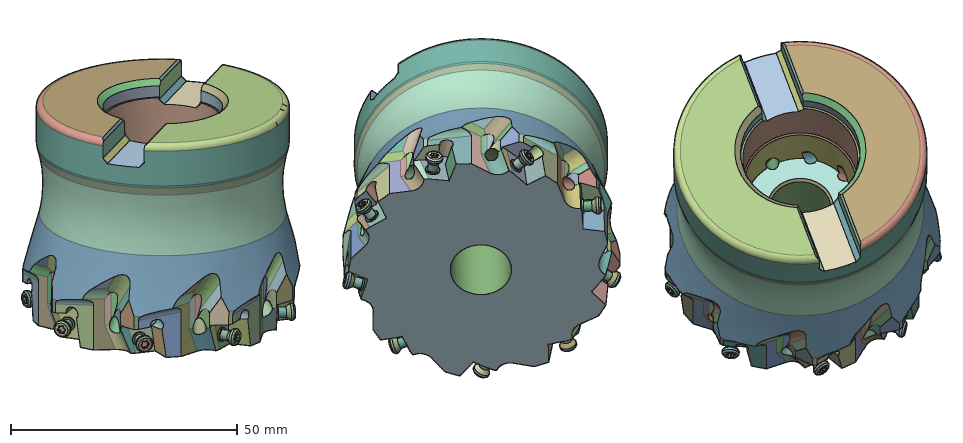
import cadquery as cq
import math

HEIGHT = 49.6
TEETH = 9
PITCH = 360 / TEETH
BODY_R = 30.95

HUB_R = 28.0
HUB_EDGE_R = 1.5
HUB_BOTTOM_Z = 39.95
HUB_CHAMFER_R = 27.9
HUB_CHAMFER_Z = 39.4
NECK_TOP_R = 27.4
NECK_TOP_Z = 37.6
NECK_R = 26.5
NECK_Z = 30.4
CONE_TOP_R = 27.3
CONE_TOP_Z = 23.25
CONE_BOTTOM_Z = 10.1

MOUTH_R = 14.5
LEAD_R = 13.2
LEAD_DEPTH = 3.9
BORE_R = 12.7
LOWER_BORE_R = 12.35
LOWER_BORE_Z = 34.1
FLOOR_Z = 23.3
THROUGH_R = 6.75
THROUGH_CHAMFER = 0.55

SLOT_W = 9.6
SLOT_DEPTH = 5.45
SLOT_CORNER = 1.1
SLOT_EDGE = 0.5

SEAT_ANGLE = 27.0
SEAT_TILT = 8.0
SEAT_X = 26.75
SEAT_Y = -1.35
SEAT_Z = 3.4
POCKET_LEFT = 4.9
POCKET_RIGHT = 3.2
POCKET_UP = 3.85
POCKET_DOWN = 7.35
WALL_LEAN = 12.0
LAND_OFFSET = 1.1
LAND_SHIFT = 1.15
LAND_W = 3.1
LAND_DROP = 0.5
FLANK_ANGLE = 19.5
FLANK_X = 27.7
FLANK_Y = 8.2
FLANK_TOP_Z = 12.3
FLANK_LENGTH = 13.5
FLANK_OVERRUN = 4.9
FLANK_FILLET = 1.7
RELIEF_R = 1.5
OUTSIDE = 12.3

FLOOR_X = 26.45
FLOOR_Y = -11.5
FLOOR_ANGLE = 12.0
FLOOR_LENGTH = 4.7
GULLET_R = 3.3
GULLET_TURN = 90.0
RUNOUT_TURN = 25.0
LEAN_Z = 5.9
LEAN = 0.4
RUNOUT_Z = 13.4
RUNOUT_BOTTOM_Z = 6.15
RUNOUT_TOP_Z = 23.3
RUNOUT_RADIAL = 0.42
RUNOUT_SIDE = 0.54
RUNOUT_R = 4.3
BEND_R = 5.4
RUNOUT_WALL_ANGLE = 35.0
FACET_X = 29.85
FACET_Y = -3.25
FACET_ANGLE = 52.0

COOLANT_R = 1.5
COOLANT_IN = (13.0, 0.0, FLOOR_Z)
COOLANT_OUT = (26.4, -6.75, 5.85)

THREAD_R = 1.6
THREAD_SINK = 2.45
THREAD_OUT = 0.35
SCREW_NECK_R = 1.15
SCREW_OUT = 4.2
HEAD_R = 1.9
HEAD_EDGE_R = 1.55
HEAD_RIM = 0.55
HEAD_CROWN = 0.4
HEAD_CONE = 1.0
SOCKET_R = 0.75
SOCKET_LOBE_R = 0.25
SOCKET_DEPTH = 0.75
LOBES = 6


def direction(angle):
    """Unit vector in the XY plane."""
    return cq.Vector(math.cos(math.radians(angle)), math.sin(math.radians(angle)), 0)


def about_axis(shape, tooth):
    return shape.rotate(cq.Vector(0, 0, 0), cq.Vector(0, 0, 1), tooth * PITCH)


def seat_plane():
    """Plane on the seat: origin on the screw axis, normal along the screw."""
    across = direction(SEAT_ANGLE + 90) * math.cos(math.radians(SEAT_TILT))
    across += cq.Vector(0, 0, math.sin(math.radians(SEAT_TILT)))
    return cq.Plane(origin=(SEAT_X, SEAT_Y, SEAT_Z), xDir=across, normal=direction(SEAT_ANGLE))


def prism(wire, path):
    return cq.Solid.extrudeLinear(wire, [], path)


def turned_body():
    return (
        cq.Workplane("XZ")
        .moveTo(0, 0)
        .lineTo(BODY_R, 0)
        .lineTo(BODY_R, CONE_BOTTOM_Z)
        .lineTo(CONE_TOP_R, CONE_TOP_Z)
        .threePointArc((NECK_R, NECK_Z), (NECK_TOP_R, NECK_TOP_Z))
        .lineTo(HUB_CHAMFER_R, HUB_CHAMFER_Z)
        .lineTo(HUB_R, HUB_BOTTOM_Z)
        .lineTo(HUB_R, HEIGHT)
        .lineTo(0, HEIGHT)
        .close()
        .revolve(360, (0, 0), (0, 1))
        .faces(">Z").edges().fillet(HUB_EDGE_R)
    )


def bore():
    chamfer = MOUTH_R - LEAD_R
    return (
        cq.Workplane("XZ")
        .moveTo(0, 0)
        .lineTo(THROUGH_R, 0)
        .lineTo(THROUGH_R, FLOOR_Z - THROUGH_CHAMFER)
        .lineTo(THROUGH_R + THROUGH_CHAMFER, FLOOR_Z)
        .lineTo(LOWER_BORE_R, FLOOR_Z)
        .lineTo(LOWER_BORE_R, LOWER_BORE_Z)
        .lineTo(BORE_R, LOWER_BORE_Z + BORE_R - LOWER_BORE_R)
        .lineTo(BORE_R, HEIGHT - LEAD_DEPTH)
        .lineTo(LEAD_R, HEIGHT - LEAD_DEPTH)
        .lineTo(LEAD_R, HEIGHT - chamfer)
        .lineTo(MOUTH_R, HEIGHT)
        .lineTo(0, HEIGHT)
        .close()
        .revolve(360, (0, 0), (0, 1))
    )


def drive_slot():
    half = SLOT_W / 2
    floor = HEIGHT - SLOT_DEPTH
    return (
        cq.Workplane("XZ")
        .moveTo(-half + SLOT_CORNER, floor)
        .lineTo(half - SLOT_CORNER, floor)
        .lineTo(half, floor + SLOT_CORNER)
        .lineTo(half, HEIGHT - SLOT_EDGE)
        .lineTo(half + SLOT_EDGE, HEIGHT)
        .lineTo(-half - SLOT_EDGE, HEIGHT)
        .lineTo(-half, HEIGHT - SLOT_EDGE)
        .lineTo(-half, floor + SLOT_CORNER)
        .close()
        .extrude(BODY_R, both=True)
    )


def pocket_cut():
    """Insert pocket: seat, ceiling and leaning backing wall."""
    top = cq.Plane(seat_plane().toWorldCoords((0, POCKET_UP, 0)), seat_plane().xDir, seat_plane().yDir * -1)
    spread = OUTSIDE * math.tan(math.radians(WALL_LEAN))
    box = (
        cq.Workplane(top)
        .moveTo(-POCKET_LEFT, 0)
        .lineTo(POCKET_RIGHT, 0)
        .lineTo(POCKET_RIGHT + spread, OUTSIDE)
        .lineTo(-POCKET_LEFT, OUTSIDE)
        .close()
        .extrude(POCKET_UP + POCKET_DOWN)
    )
    relief = (
        cq.Workplane(seat_plane())
        .center(POCKET_RIGHT, POCKET_UP)
        .circle(RELIEF_R)
        .extrude(OUTSIDE)
    )
    return box.union(relief).val()


def edge_land_cut():
    """Narrow land falling away from the seat towards the gullet."""
    plane = seat_plane()
    bottom = -SEAT_Z - 0.6
    outline = [
        plane.toWorldCoords(p) for p in (
            (-LAND_OFFSET, bottom, 0),
            (-LAND_OFFSET - LAND_W, bottom, 0),
            (-LAND_OFFSET - LAND_W, bottom, -LAND_DROP),
        )
    ]
    run = plane.xDir * -LAND_SHIFT + plane.yDir * (POCKET_UP - bottom)
    return prism(cq.Wire.makePolygon(outline, close=True), run)


def flank_cut():
    """Flat clearance behind the insert, with a sloping, rounded upper edge."""
    out = direction(FLANK_ANGLE)
    plane = cq.Plane(origin=(FLANK_X, FLANK_Y, 0), xDir=direction(FLANK_ANGLE + 90), normal=out)
    slope = math.tan(math.radians(SEAT_TILT))
    return (
        cq.Workplane(plane)
        .moveTo(-FLANK_LENGTH, 0)
        .lineTo(FLANK_OVERRUN, 0)
        .lineTo(FLANK_OVERRUN, FLANK_TOP_Z + FLANK_OVERRUN * slope)
        .lineTo(-FLANK_LENGTH, FLANK_TOP_Z - FLANK_LENGTH * slope)
        .close()
        .extrude(OUTSIDE)
        .edges(cq.selectors.NearestToPointSelector((FLANK_X, FLANK_Y, FLANK_TOP_Z)))
        .fillet(FLANK_FILLET)
        .val()
    )


def gullet_profile(shift, z, behind, turn):
    """Floor, round root turning by an angle, and a straight side wall.

    The root is moved along the floor by shift; behind is the depth past the floor.
    """
    out = direction(FLOOR_ANGLE)
    along = direction(FLOOR_ANGLE + 90)
    edge = cq.Vector(FLOOR_X, FLOOR_Y, z)
    root = edge + along * (FLOOR_LENGTH + shift)
    centre = root + out * GULLET_R
    mid = centre + direction(FLOOR_ANGLE + 180 - turn / 2) * GULLET_R
    side = centre + direction(FLOOR_ANGLE + 180 - turn) * GULLET_R
    side_end = side + direction(FLOOR_ANGLE + 90 - turn) * 2 * OUTSIDE
    start = edge - along * OUTSIDE - out * behind
    far = start + out * 3 * OUTSIDE
    foot = root - out * behind
    lines = [(start, foot), (side, side_end), (side_end, far), (far, start)]
    if behind:
        lines.append((foot, root))
    edges = [cq.Edge.makeLine(*ends) for ends in lines]
    return cq.Wire.combine(edges + [cq.Edge.makeThreePointArc(root, mid, side)])[0]


def runout_cut():
    """Sloping run-out above the gullet, with the flat facet under the crown."""
    out = direction(FLOOR_ANGLE)
    along = direction(FLOOR_ANGLE + 90)
    facet = direction(FACET_ANGLE)
    edge = cq.Vector(FLOOR_X, FLOOR_Y, RUNOUT_Z)
    on_facet = cq.Vector(FACET_X, FACET_Y, RUNOUT_Z)
    wall = direction(RUNOUT_WALL_ANGLE)
    reach = (on_facet - edge).dot(out) / wall.dot(out)
    corner = on_facet - wall * reach
    section = (
        cq.Workplane("XY")
        .polyline([p.toTuple()[:2] for p in (
            edge - along * OUTSIDE,
            corner,
            on_facet,
            on_facet + facet * 2 * OUTSIDE,
            edge - along * OUTSIDE + out * 2 * OUTSIDE,
        )])
        .close()
        .extrude(0.6)
        .edges(cq.selectors.NearestToPointSelector((corner.x, corner.y, 0.3)))
        .fillet(RUNOUT_R)
        .faces("<Z")
        .wires()
        .val()
    )
    slope = cq.Vector(RUNOUT_RADIAL, RUNOUT_SIDE, 1)
    start = cq.Vector(0, 0, RUNOUT_Z) + slope * (RUNOUT_BOTTOM_Z - RUNOUT_Z)
    tool = prism(section.translate(start), slope * (RUNOUT_TOP_Z - RUNOUT_BOTTOM_Z))
    return tool


def in_front_of_floor():
    """Space in front of the upright floor and below its sloping run-out."""
    out = direction(FLOOR_ANGLE)
    along = direction(FLOOR_ANGLE + 90)
    slope = cq.Vector(RUNOUT_RADIAL, RUNOUT_SIDE, 0).dot(out)
    rise = 2 * OUTSIDE / slope
    section = cq.Plane(origin=(FLOOR_X, FLOOR_Y, 0), xDir=out, normal=along * -1)
    return (
        cq.Workplane(section)
        .moveTo(0, LEAN_Z)
        .lineTo(2 * OUTSIDE, LEAN_Z)
        .lineTo(2 * OUTSIDE, RUNOUT_Z + rise)
        .lineTo(0, RUNOUT_Z)
        .close()
        .extrude(3 * OUTSIDE, both=True)
        .edges(cq.selectors.NearestToPointSelector((FLOOR_X, FLOOR_Y, RUNOUT_Z)))
        .fillet(BEND_R)
        .val()
    )


def gullet_cut():
    """Leaning lower gullet, the upright part above it and the sloping run-out."""
    along = direction(FLOOR_ANGLE + 90)
    shift = -LEAN * LEAN_Z
    lower = prism(gullet_profile(0, 0, 0, GULLET_TURN), along * shift + cq.Vector(0, 0, LEAN_Z))
    rise = cq.Vector(0, 0, RUNOUT_TOP_Z - LEAN_Z)
    upper = prism(gullet_profile(shift, LEAN_Z, GULLET_R, GULLET_TURN), cq.Vector(0, 0, RUNOUT_Z - LEAN_Z))
    limit = prism(gullet_profile(shift, LEAN_Z, GULLET_R, RUNOUT_TURN), rise)
    space = in_front_of_floor()
    return [lower, upper.intersect(space), runout_cut().intersect(limit).intersect(space)]


def coolant_cut():
    start = cq.Vector(*COOLANT_IN)
    run = cq.Vector(*COOLANT_OUT) - start
    back = run.normalized() * COOLANT_R * 2
    return cq.Solid.makeCylinder(COOLANT_R, run.Length + 2 * back.Length, start - back, run)


def screw_hole():
    return cq.Workplane(seat_plane()).circle(THREAD_R).extrude(-THREAD_SINK).val()


def make_screw():
    rim_top = SCREW_OUT - HEAD_CROWN
    rim_bottom = rim_top - HEAD_RIM
    shank = (
        cq.Workplane("XZ")
        .moveTo(0, -THREAD_SINK)
        .lineTo(THREAD_R, -THREAD_SINK)
        .lineTo(THREAD_R, THREAD_OUT)
        .lineTo(SCREW_NECK_R, THREAD_OUT)
        .lineTo(SCREW_NECK_R, rim_bottom - HEAD_CONE)
        .lineTo(HEAD_R, rim_bottom)
        .lineTo(HEAD_R, rim_top)
        .lineTo(HEAD_EDGE_R, SCREW_OUT)
        .lineTo(0, SCREW_OUT)
        .close()
        .revolve(360, (0, 0), (0, 1))
    )
    face = cq.Workplane("XY").workplane(offset=SCREW_OUT)
    socket = face.circle(SOCKET_R).extrude(-SOCKET_DEPTH)
    socket = socket.union(face.polarArray(SOCKET_R, 0, 360, LOBES).circle(SOCKET_LOBE_R).extrude(-SOCKET_DEPTH))
    return shank.cut(socket).val().moved(cq.Location(seat_plane()))


def make_cutter_body():
    body = turned_body().cut(bore()).cut(drive_slot()).val()
    tools = [pocket_cut(), flank_cut(), *gullet_cut(), edge_land_cut(), coolant_cut(), screw_hole()]
    for tooth in range(TEETH):
        for tool in tools:
            body = body.cut(about_axis(tool, tooth))
    return body.clean()


cutter_body = make_cutter_body()
screw = make_screw()
screws = [about_axis(screw, tooth) for tooth in range(TEETH)]
result = cq.Compound.makeCompound([*cutter_body.Solids(), *screws])